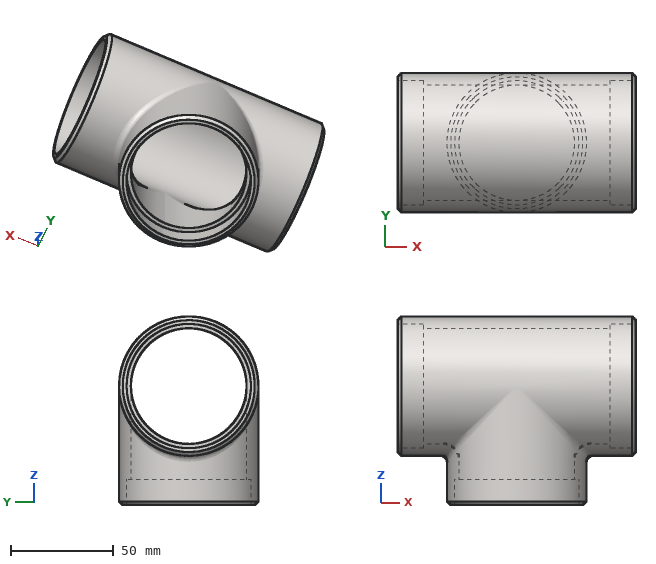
import cadquery as cq

run_length = 116.0
outer_diameter = 68.0
socket_diameter = 60.5
bore_diameter = 56.3
branch_reach = 58.0
socket_depth = 12.5
rim_chamfer = 1.9
crotch_radius = 3.0
bore_edge_radius = 8.5

half_run = run_length / 2


def half_tee(diameter, corner_radius):
    """The +X half of two equal crossing cylinders, rounded where they meet."""
    run = cq.Workplane("YZ").circle(diameter / 2).extrude(half_run)
    branch = cq.Workplane("XY").circle(diameter / 2).extrude(-branch_reach)
    half_space = cq.Workplane("XY").box(
        run_length, 2 * run_length, 2 * run_length, centered=(False, True, True)
    )
    return run.union(branch).intersect(half_space).edges("not(%CIRCLE or %LINE)").fillet(corner_radius)


half = half_tee(outer_diameter, crotch_radius)
half = half.edges("(>X or <Z) and %CIRCLE").chamfer(rim_chamfer)

half = half.cut(half_tee(bore_diameter, bore_edge_radius))

run_socket = (
    cq.Workplane("YZ", origin=(half_run, 0, 0)).circle(socket_diameter / 2).extrude(-socket_depth)
)
branch_socket = (
    cq.Workplane("XY", origin=(0, 0, -branch_reach)).circle(socket_diameter / 2).extrude(socket_depth)
)
half = half.cut(run_socket).cut(branch_socket)

result = half.union(half.mirror("YZ")).clean()